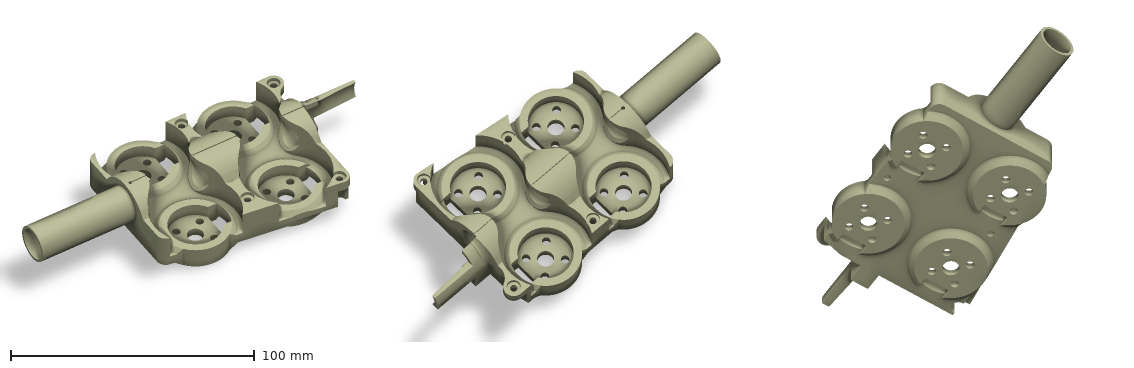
import cadquery as cq
import math

DIAGONAL = math.sqrt(0.5)

BOTTOM_Z = 2.9
FLOOR_Z = 7.4
TOP_Z = 18.0
LEFT_X = -29.9
FRONT_RIGHT_X = 28.4
RIGHT_SLOPE = 0.13
BACK_Y = 86.2
BACK_RIGHT_X = FRONT_RIGHT_X + RIGHT_SLOPE * BACK_Y
FRONT_CORNER_R = 4.2
BACK_CHAMFER_X = 9.6
BACK_CHAMFER_Y = 2.4

AXIS_Z = 15.7
ARCH_TOP_Z = 26.5
SHOULDER_X = 11.9
SHOULDER_Z = 21.0
ARCH_FOOT_X = 14.1
GROOVE_W = 0.6
GROOVE_DEPTH = 0.6
VENT_D = 1.6
VENT_Y = 2.5

TUBE_D = 16.0
TUBE_BORE_D = 13.5
TUBE_LENGTH_OUT = 44.8
SOCKET_DEPTH = 4.8
BORE_D = 13.0
BORE_CHAMFER = 1.5

CUP_X = 20.3
ROW_Y = 21.3
ROW_PITCH = 43.8
CUP_R = 15.0
CUP_BORE_R = 11.5
CUP_RIM_Z = 9.3
CUP_FLOOR_Z = 3.5
CUP_FLARE = 2.1
SHAFT_HOLE_D = 7.0
MOUNT_HOLE_D = 3.5
MOUNT_CIRCLE_R = 8.0
MOUNT_COUNT = 4
WINDOW_W = 12.0
WINDOW_START = 9.8
WINDOW_REACH = 18.5
MOTOR_CLEARANCE_R = 19.6
BRIDGE_HALF = 11.0

SCREW_D = 3.0
SCREW_HEAD_D = 5.8
SCREW_HEAD_DEPTH = 1.6
MID_SCREW_X = 25.44
MID_SCREW_Y = 43.3
EAR_BOTTOM_Z = 13.5
LEFT_EAR_R = 4.3
LEFT_EAR_X = LEFT_X + LEFT_EAR_R
LEFT_EAR_Y = 88.0
EAR_BLEND_R = 6.7
RIGHT_EAR_R = 4.0
RIGHT_EAR_X = 35.0
RIGHT_EAR_Y = 81.9
POCKET_TOP_Z = 14.3
STEP_X = 35.6
STEP_Z = 4.8

BOSS_R = 11.4
BOSS_CENTRE_X = 1.6
BOSS_CENTRE_Z = 13.6
BOSS_LEFT_X = -9.6
BOSS_RIGHT_X = -1.3
BOSS_END_Y = 94.4
FLARE_START_R = 9.3
FLARE_R = 3.4
BLADE_HALF_H = 4.2
BLADE_END_Y = 115.7
BLADE_END_BORE_R = 7.5

FAR_X = 48.2
ROWS = [ROW_Y, ROW_Y + ROW_PITCH]
CUP_CENTRES = [(x, y) for x in (-CUP_X, CUP_X) for y in ROWS]
SCREWS = [
    (-MID_SCREW_X, MID_SCREW_Y),
    (MID_SCREW_X, MID_SCREW_Y),
    (LEFT_EAR_X, LEFT_EAR_Y),
    (RIGHT_EAR_X, RIGHT_EAR_Y),
]


def cylinder(diameter, x, y, z0, z1):
    return cq.Workplane("XY", origin=(x, y, z0)).circle(diameter / 2).extrude(z1 - z0)


def box(x0, x1, y0, y1, z0, z1):
    return cq.Workplane("XY").box(x1 - x0, y1 - y0, z1 - z0, centered=False).translate((x0, y0, z0))


def rod(diameter, y0, y1):
    """Cylinder along the tube axis."""
    return cq.Workplane("XZ", origin=(0, y0, AXIS_Z)).circle(diameter / 2).extrude(y0 - y1)


def block(z0):
    """Base outline with a slanted right side, from z0 up to the top face."""
    outline = [
        (LEFT_X, 0),
        (FRONT_RIGHT_X, 0),
        (BACK_RIGHT_X, BACK_Y),
        (LEFT_X + BACK_CHAMFER_X, BACK_Y),
        (LEFT_X, BACK_Y - BACK_CHAMFER_Y),
    ]
    body = cq.Workplane("XY", origin=(0, 0, z0)).polyline(outline).close().extrude(TOP_Z - z0)
    body = body.edges("|Z and <Y").fillet(FRONT_CORNER_R)
    return body.edges("|Z and >X").fillet(RIGHT_EAR_R)


def arch(y0, y1):
    return (
        cq.Workplane("XZ", origin=(0, y0, 0))
        .moveTo(-ARCH_FOOT_X, TOP_Z)
        .lineTo(-SHOULDER_X, SHOULDER_Z)
        .threePointArc((0, ARCH_TOP_Z), (SHOULDER_X, SHOULDER_Z))
        .lineTo(ARCH_FOOT_X, TOP_Z)
        .lineTo(ARCH_FOOT_X, BOTTOM_Z)
        .lineTo(-ARCH_FOOT_X, BOTTOM_Z)
        .close()
        .extrude(y0 - y1)
    )


def left_ear():
    """Round ear that a concave arc blends into the back face."""
    reach = LEFT_EAR_R + EAR_BLEND_R
    blend_y = BACK_Y + EAR_BLEND_R
    blend_x = LEFT_EAR_X + math.sqrt(reach**2 - (blend_y - LEFT_EAR_Y) ** 2)
    share = LEFT_EAR_R / reach
    touch = (
        LEFT_EAR_X + share * (blend_x - LEFT_EAR_X),
        LEFT_EAR_Y + share * (blend_y - LEFT_EAR_Y),
    )
    start_angle = math.atan2(blend_y - touch[1], blend_x - touch[0])
    mid_angle = (start_angle + math.pi / 2) / 2
    blend_mid = (
        blend_x - EAR_BLEND_R * math.cos(mid_angle),
        blend_y - EAR_BLEND_R * math.sin(mid_angle),
    )
    root_y = BACK_Y - BACK_CHAMFER_Y
    return (
        cq.Workplane("XY", origin=(0, 0, EAR_BOTTOM_Z))
        .moveTo(LEFT_X, root_y)
        .lineTo(LEFT_X, LEFT_EAR_Y)
        .threePointArc((LEFT_EAR_X, LEFT_EAR_Y + LEFT_EAR_R), touch)
        .threePointArc(blend_mid, (blend_x, BACK_Y))
        .lineTo(blend_x, root_y)
        .close()
        .extrude(TOP_Z - EAR_BOTTOM_Z)
    )


def right_ear_pocket():
    """Screw pocket below the right ear, open to the outside."""
    radius = SCREW_HEAD_D / 2
    pocket = cylinder(SCREW_HEAD_D, RIGHT_EAR_X, RIGHT_EAR_Y, 0, POCKET_TOP_Z)
    return pocket.union(box(RIGHT_EAR_X, FAR_X, RIGHT_EAR_Y - radius, BACK_Y, 0, EAR_BOTTOM_Z))


def motor_clearance(y):
    """Space above the floor for two motors: two circles joined by a waist with concave sides."""
    waist_r = (CUP_X**2 + BRIDGE_HALF**2 - MOTOR_CLEARANCE_R**2) / (2 * (MOTOR_CLEARANCE_R - BRIDGE_HALF))
    share = waist_r / (waist_r + MOTOR_CLEARANCE_R)
    touch_x = share * CUP_X
    touch_y = (1 - share) * (BRIDGE_HALF + waist_r)
    plan = cq.Workplane("XY", origin=(0, y, FLOOR_Z))
    waist = (
        plan.moveTo(-touch_x, touch_y)
        .threePointArc((0, BRIDGE_HALF), (touch_x, touch_y))
        .lineTo(CUP_X, 0)
        .lineTo(touch_x, -touch_y)
        .threePointArc((0, -BRIDGE_HALF), (-touch_x, -touch_y))
        .lineTo(-CUP_X, 0)
        .close()
        .extrude(ARCH_TOP_Z)
    )
    circles = plan.pushPoints([(-CUP_X, 0), (CUP_X, 0)]).circle(MOTOR_CLEARANCE_R).extrude(ARCH_TOP_Z)
    return waist.union(circles)


def bore_the_arches(body):
    """Bore along the axis, chamfered at every opening behind the tube socket."""
    body = body.cut(rod(BORE_D, 0, BACK_Y))
    reach = TUBE_D / 2
    bore_zone = cq.selectors.BoxSelector(
        (-reach, SOCKET_DEPTH, AXIS_Z - reach),
        (reach, BACK_Y + BORE_CHAMFER, AXIS_Z + reach),
        boundingbox=True,
    )
    return body.edges(bore_zone).chamfer(BORE_CHAMFER).cut(rod(TUBE_D, 0, SOCKET_DEPTH))


def cup(x, y, footprint):
    """Cup wall, flared where it meets the base plate and plain where it hangs over the side."""
    flared = (
        cq.Workplane("XZ")
        .moveTo(0, 0)
        .lineTo(CUP_R, 0)
        .lineTo(CUP_R + BOTTOM_Z, BOTTOM_Z)
        .lineTo(CUP_R + CUP_FLARE, FLOOR_Z)
        .lineTo(CUP_R, CUP_RIM_Z)
        .lineTo(0, CUP_RIM_Z)
        .close()
        .revolve(360, (0, 0, 0), (0, 1, 0))
        .translate((x, y, 0))
    )
    return cylinder(2 * CUP_R, x, y, 0, CUP_RIM_Z).union(flared.intersect(footprint))


def cup_cavity(x, y):
    """Motor seat with its shaft hole, mounting holes and wire window."""
    seat = cylinder(2 * CUP_BORE_R, x, y, CUP_FLOOR_Z, CUP_RIM_Z)
    shaft = cylinder(SHAFT_HOLE_D, x, y, 0, CUP_RIM_Z)
    mounts = (
        cq.Workplane("XY", origin=(x, y, 0))
        .polarArray(MOUNT_CIRCLE_R, 45, 360, MOUNT_COUNT)
        .circle(MOUNT_HOLE_D / 2)
        .extrude(CUP_RIM_Z)
    )
    left = x - WINDOW_W / 2
    right = x + WINDOW_W / 2
    window = box(left, right, y + WINDOW_START, y + WINDOW_REACH, 0, CUP_RIM_Z)
    window = window.intersect(cylinder(2 * CUP_R, x, y, 0, CUP_RIM_Z))
    lower_notch = box(left, right, y + WINDOW_START, y + WINDOW_REACH, 0, BOTTOM_Z)
    return seat.union(shaft).union(mounts).union(window).union(lower_notch)


def back_right_rim_notch():
    """The back right window also cuts the flare above the floor."""
    y = ROWS[-1]
    return box(CUP_X - WINDOW_W / 2, CUP_X + WINDOW_W / 2, y + WINDOW_START, y + WINDOW_REACH, FLOOR_Z, CUP_RIM_Z)


def screw_hole(x, y):
    head = cylinder(SCREW_HEAD_D, x, y, TOP_Z - SCREW_HEAD_DEPTH, TOP_Z)
    return cylinder(SCREW_D, x, y, 0, TOP_Z).union(head)


def boss_bar(y0, y1):
    """Round-topped bar, flat on its left and right sides."""
    round_top = (
        cq.Workplane("XZ", origin=(BOSS_CENTRE_X, y0, BOSS_CENTRE_Z)).circle(BOSS_R).extrude(y0 - y1)
    )
    bar = round_top.union(box(BOSS_LEFT_X, BOSS_RIGHT_X, y0, y1, BOTTOM_Z, BOSS_CENTRE_Z))
    return bar.intersect(box(BOSS_LEFT_X, BOSS_RIGHT_X, y0, y1, BOTTOM_Z, ARCH_TOP_Z))


def boss_flare():
    """Concave flare between the boss and the back face."""
    mid = FLARE_R * (1 - DIAGONAL)
    ring = (
        cq.Workplane("XY")
        .moveTo(0, 0)
        .lineTo(-FLARE_START_R - FLARE_R, 0)
        .threePointArc((-FLARE_START_R - mid, mid), (-FLARE_START_R, FLARE_R))
        .lineTo(0, FLARE_R)
        .close()
        .revolve(360, (0, 0, 0), (0, 1, 0))
        .translate((0, BACK_Y, AXIS_Z))
    )
    left_half = box(-ARCH_FOOT_X, BOSS_RIGHT_X, BACK_Y, BOSS_END_Y, BOTTOM_Z, ARCH_TOP_Z)
    return ring.intersect(left_half).intersect(arch(BACK_Y, BOSS_END_Y))


def boss():
    return boss_bar(BACK_Y, BOSS_END_Y).union(boss_flare()).cut(rod(BORE_D, BACK_Y, BOSS_END_Y))


def blade():
    """Strip of the boss wall, thinned by a bore that widens toward the tip."""
    strip = box(
        BOSS_LEFT_X, BOSS_RIGHT_X, BOSS_END_Y, BLADE_END_Y, AXIS_Z - BLADE_HALF_H, AXIS_Z + BLADE_HALF_H
    )
    taper = (
        cq.Workplane("XY")
        .moveTo(0, BOSS_END_Y)
        .lineTo(BORE_D / 2, BOSS_END_Y)
        .lineTo(BLADE_END_BORE_R, BLADE_END_Y)
        .lineTo(0, BLADE_END_Y)
        .close()
        .revolve(360, (0, 0, 0), (0, 1, 0))
        .translate((0, 0, AXIS_Z))
    )
    return boss_bar(BOSS_END_Y, BLADE_END_Y).intersect(strip).cut(taper)


def crest_groove():
    groove = box(-GROOVE_W / 2, GROOVE_W / 2, VENT_Y, BACK_Y, ARCH_TOP_Z - GROOVE_DEPTH, ARCH_TOP_Z)
    return groove.union(cylinder(VENT_D, 0, VENT_Y, AXIS_Z, ARCH_TOP_Z))


def make_housing():
    right_ear = cylinder(2 * RIGHT_EAR_R, RIGHT_EAR_X, RIGHT_EAR_Y, EAR_BOTTOM_Z, TOP_Z)
    body = block(BOTTOM_Z).union(arch(0, BACK_Y)).union(left_ear()).union(right_ear)
    body = body.cut(right_ear_pocket())
    for y in ROWS:
        body = body.cut(motor_clearance(y))
    body = bore_the_arches(body)

    footprint = block(0)
    for x, y in CUP_CENTRES:
        body = body.union(cup(x, y, footprint))
    for x, y in CUP_CENTRES:
        body = body.cut(cup_cavity(x, y))
    body = body.cut(back_right_rim_notch())
    body = body.cut(box(STEP_X, FAR_X, 0, BACK_Y, 0, STEP_Z))
    for x, y in SCREWS:
        body = body.cut(screw_hole(x, y))

    body = body.union(boss()).union(blade())
    return body.cut(crest_groove())


def make_tube():
    return rod(TUBE_D, -TUBE_LENGTH_OUT, SOCKET_DEPTH).cut(rod(TUBE_BORE_D, -TUBE_LENGTH_OUT, SOCKET_DEPTH))


housing = make_housing()
tube = make_tube()
result = cq.Compound.makeCompound([*housing.vals(), *tube.vals()])